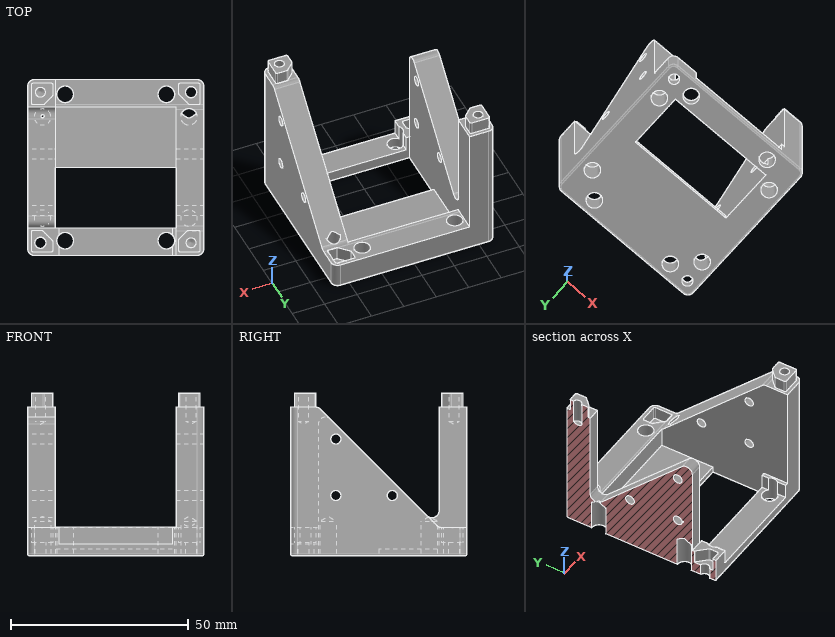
import cadquery as cq
import math

side = 49.7
half = side / 2
wall = 7.85
inner = half - wall
low_top = 7.95
post_top = low_top + 2 * inner
corner_radius = 2.0
bottom_round = 0.5

ledge_top = 3.35
ledge_half_length = 16.0
shelf_thickness = 1.95

peg_height = 3.9
peg_size = 6.05
peg_center = 20.72
peg_chamfer = 2.6
socket_chamfer = 3.05
peg_round = 0.45
socket_depth = 4.15

tip_angle = math.radians(118)
corner_hole_offset = 21.2
peg_hole_diameter = 2.8
peg_hole_depth = 7.95
socket_hole_diameter = 3.1
mount_hole_diameter = 4.6
mount_hole_across = 20.65
mount_hole_along = 14.25
side_mount_depth = 9.75
wall_hole_diameter = 2.8
wall_hole_y = -12.1
wall_hole_z = 17.0
wall_hole_pitch = 15.9

post_corners = [(-1, 1), (1, -1)]
socket_corners = [(-1, -1), (1, 1)]
both_signs = (-1, 1)


def box(x0, x1, y0, y1, z0, z1):
    """Axis-aligned block between two opposite corners."""
    return cq.Workplane("XY").box(x1 - x0, y1 - y0, z1 - z0, centered=False).translate((x0, y0, z0))


def wall_profile(x, points):
    """Extrude a (y, z) outline along +X by the wall width, starting at x."""
    return cq.Workplane("YZ", origin=(x, 0, 0)).polyline(points).close().extrude(wall)


def edges_along_x(y, z):
    """Selector for the edge parallel to X that passes through (y, z)."""
    reach = 0.05
    return cq.selectors.BoxSelector((-side, y - reach, z - reach), (side, y + reach, z + reach))


def left_wall():
    """Post at the rear, a sloped web, and a low corner at the front."""
    body = wall_profile(-half, [
        (-half, 0), (half, 0), (half, post_top), (inner, post_top),
        (inner, low_top), (-inner, post_top), (-inner, low_top), (-half, low_top),
    ])
    body = body.edges(edges_along_x(inner, low_top)).fillet(corner_radius)
    return body.edges(edges_along_x(-inner, post_top)).fillet(corner_radius)


def right_wall_and_rear_rail():
    """Post at the front sloping down into the rear rail."""
    body = cq.Workplane("YZ", origin=(-half, 0, 0)).polyline([
        (-half, 0), (half, 0), (half, low_top), (inner, low_top),
        (-inner, post_top), (-half, post_top),
    ]).close().extrude(side)
    body = body.edges(edges_along_x(inner, low_top)).fillet(corner_radius)
    body = body.edges(edges_along_x(-inner, post_top)).fillet(corner_radius)
    return body.cut(box(-half, inner, -half, inner, 0, side))


def front_rail():
    rail = box(-inner, inner, -half, -inner, 0, low_top)
    recess = box(-ledge_half_length, ledge_half_length, -half, -inner, ledge_top, low_top)
    return rail.cut(recess)


def outer_envelope():
    """Rounded block that trims the outside corners and the bottom edge."""
    block = cq.Workplane("XY").rect(side, side).extrude(post_top)
    return block.edges("|Z").fillet(corner_radius).faces("<Z").edges().fillet(bottom_round)


def corner_prism(x_sign, y_sign, z, height, chamfer):
    """Square prism at a corner whose edge nearest the centre is chamfered."""
    near = peg_center - peg_size / 2
    far = peg_center + peg_size / 2
    outline = [(near + chamfer, near), (far, near), (far, far), (near, far), (near, near + chamfer)]
    points = [(x_sign * x, y_sign * y) for x, y in outline]
    prism = cq.Workplane("XY", origin=(0, 0, z)).polyline(points).close().extrude(height)
    return prism.edges("|Z").fillet(peg_round)


def drill(x, y, z, diameter, depth, direction):
    """Blind vertical hole with a conical end; direction is 1 upward or -1 downward."""
    radius = diameter / 2
    tip = depth + radius / math.tan(tip_angle / 2)
    outline = [(0, 0), (radius, 0), (radius, direction * depth), (0, direction * tip)]
    hole = cq.Workplane("XZ").polyline(outline).close().revolve(360, (0, 0, 0), (0, 1, 0))
    return hole.translate((x, y, z))


def through_hole(x, y, diameter):
    return cq.Workplane("XY").center(x, y).circle(diameter / 2).extrude(side)


frame = left_wall().union(right_wall_and_rear_rail()).union(front_rail())
frame = frame.intersect(outer_envelope())
frame = frame.union(box(-inner, inner, 0, inner, 0, shelf_thickness))

for x_sign, y_sign in post_corners:
    frame = frame.union(corner_prism(x_sign, y_sign, post_top, peg_height, peg_chamfer))
    frame = frame.cut(drill(
        x_sign * corner_hole_offset, y_sign * corner_hole_offset,
        post_top + peg_height, peg_hole_diameter, peg_hole_depth, -1,
    ))

for x_sign, y_sign in socket_corners:
    frame = frame.cut(corner_prism(x_sign, y_sign, low_top - socket_depth, socket_depth, socket_chamfer))
    frame = frame.cut(through_hole(
        x_sign * corner_hole_offset, y_sign * corner_hole_offset, socket_hole_diameter,
    ))

for x_sign in both_signs:
    for y_sign in both_signs:
        frame = frame.cut(through_hole(
            x_sign * mount_hole_along, y_sign * mount_hole_across, mount_hole_diameter,
        ))
        frame = frame.cut(drill(
            x_sign * mount_hole_across, y_sign * mount_hole_along, 0,
            mount_hole_diameter, side_mount_depth, 1,
        ))

wall_holes = cq.Workplane("YZ", origin=(-half, 0, 0)).pushPoints([
    (wall_hole_y, wall_hole_z),
    (wall_hole_y + wall_hole_pitch, wall_hole_z),
    (wall_hole_y, wall_hole_z + wall_hole_pitch),
]).circle(wall_hole_diameter / 2).extrude(side)

result = frame.cut(wall_holes)